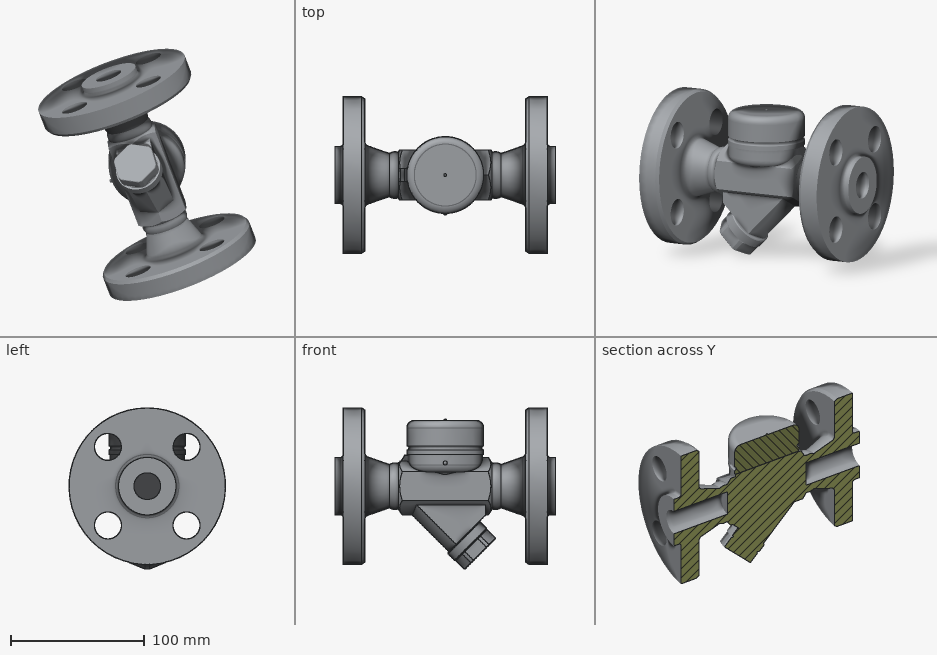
import cadquery as cq
import math


FACE_TO_FACE = 165.0
FLANGE_DIA = 117.0
FLANGE_OUTER_X = 76.2
FLANGE_INNER_X = 60.0
FLANGE_CHAMFER_LENGTH = 2.4
FLANGE_CHAMFER_DEPTH = 1.7
RAISED_FACE_DIA = 42.9
RAISED_FACE_FILLET = 2.2
BOLT_HOLE_DIA = 20.0
BOLT_HOLE_COUNT = 4
BOLT_CIRCLE_DIA = 83.0
PORT_DIA = 20.0
HUB_LARGE_DIA = 43.6
HUB_LARGE_X = 57.8
HUB_SMALL_DIA = 32.4
HUB_SMALL_X = 41.7
NECK_DIA = 34.0
NECK_CREST_DIA = 34.9
NECK_CREST_X = 38.0

BLOCK_FLATS = 37.4
BLOCK_HALF_LENGTH = 35.0
BLOCK_END_DIA = 34.6
BLOCK_END_TAPER = 2.9

BOWL_DIA = 56.0
BOWL_BOTTOM_Z = 10.7
BOWL_TOP_Z = 23.7
BOWL_FILLET = 5.0
BOWL_FOOT_DIA = 37.2
BOWL_FOOT_FILLET = 2.8
PIN_DIA = 3.0
PIN_Z = 17.3
PIN_TIP_Y = -29.8

LUG_WIDTH = 9.6
LUG_TOP_X = -30.3
LUG_TOP_Z = 23.2
LUG_BOTTOM_X = -33.6
LUG_BOTTOM_Z = 17.5
LUG_FILLET = 3.0

BRANCH_SLOPE = 45.0
BRANCH_AXIS_X = -12.25
BRANCH_AXIS_Z = -12.25
BRANCH_FLATS = 26.6
BRANCH_START = -10.0
BRANCH_END = 36.6
BRANCH_SIDE_X = 29.9

COLLAR_DIA = 34.0
COLLAR_LENGTH = 7.5
COLLAR_CHAMFER = 0.6
PLUG_NECK_DIA = 31.0
PLUG_NECK_LENGTH = 0.8
PLUG_HEX_FLATS = 30.0
PLUG_HEX_DIA = 33.0
PLUG_CHAMFER = 0.4
HOUSING_BOTTOM_Z = -62.04

CAP_DIA = 57.5
CAP_TOP_Z = 49.1
CAP_CROWN_FILLET = 5.6
CAP_GROOVE_RADIUS = 1.5
CAP_GROOVE_Z = 28.6
CAP_NUB_DIA = 2.0


def hexagon_corner_dia(flats):
    """Diameter of the circle through the corners of a hexagon with this width across flats."""
    return flats * 2 / math.sqrt(3)


def make_flanged_end():
    """The +X end: neck bead, tapered hub, drilled flange and raised face, turned about X."""
    end_x = FACE_TO_FACE / 2
    face_radius = RAISED_FACE_DIA / 2
    rim_radius = FLANGE_DIA / 2
    hub_length = HUB_LARGE_X - HUB_SMALL_X
    hub_taper = math.atan((HUB_LARGE_DIA - HUB_SMALL_DIA) / 2 / hub_length)
    hub_fillet = (FLANGE_INNER_X - HUB_LARGE_X) / (1 - math.sin(hub_taper))
    foot_radius = HUB_LARGE_DIA / 2 + hub_fillet * math.cos(hub_taper)
    profile = (
        cq.Workplane("XZ")
        .moveTo(0, 0)
        .lineTo(0, NECK_DIA / 2)
        .lineTo(BLOCK_HALF_LENGTH, NECK_DIA / 2)
        .threePointArc((NECK_CREST_X, NECK_CREST_DIA / 2), (HUB_SMALL_X, HUB_SMALL_DIA / 2))
        .lineTo(HUB_LARGE_X, HUB_LARGE_DIA / 2)
        .radiusArc((FLANGE_INNER_X, foot_radius), -hub_fillet)
        .lineTo(FLANGE_INNER_X, rim_radius - FLANGE_CHAMFER_DEPTH)
        .lineTo(FLANGE_INNER_X + FLANGE_CHAMFER_LENGTH, rim_radius)
        .lineTo(FLANGE_OUTER_X, rim_radius)
        .lineTo(FLANGE_OUTER_X, face_radius + RAISED_FACE_FILLET)
        .radiusArc((FLANGE_OUTER_X + RAISED_FACE_FILLET, face_radius), -RAISED_FACE_FILLET)
        .lineTo(end_x, face_radius)
        .lineTo(end_x, 0)
        .close()
    )
    end = profile.revolve(360, (0, 0, 0), (1, 0, 0))
    bolt_holes = (
        cq.Workplane("YZ", origin=(FLANGE_INNER_X, 0, 0))
        .polarArray(BOLT_CIRCLE_DIA / 2, 180 / BOLT_HOLE_COUNT, 360, BOLT_HOLE_COUNT)
        .circle(BOLT_HOLE_DIA / 2)
        .extrude(end_x - FLANGE_INNER_X)
    )
    port = (
        cq.Workplane("YZ", origin=(BLOCK_HALF_LENGTH, 0, 0))
        .circle(PORT_DIA / 2)
        .extrude(end_x - BLOCK_HALF_LENGTH)
    )
    return end.cut(bolt_holes).cut(port)


def make_block():
    """Hexagonal bar along X whose corners are coned off at both ends."""
    bar = (
        cq.Workplane("YZ")
        .polygon(6, hexagon_corner_dia(BLOCK_FLATS))
        .extrude(BLOCK_HALF_LENGTH, both=True)
        .rotate((0, 0, 0), (1, 0, 0), 90)
    )
    corner_radius = hexagon_corner_dia(BLOCK_FLATS) / 2
    cone_depth = corner_radius - BLOCK_END_DIA / 2
    envelope = (
        cq.Workplane("YZ")
        .circle(corner_radius)
        .extrude(BLOCK_HALF_LENGTH, both=True)
        .faces("<X or >X")
        .chamfer(BLOCK_END_TAPER, cone_depth)
    )
    return bar.intersect(envelope)


def make_bowl():
    """Round bowl on a round foot that is blended in by a concave fillet, standing on the block."""
    radius = BOWL_DIA / 2
    foot_radius = BOWL_FOOT_DIA / 2
    return (
        cq.Workplane("XZ")
        .moveTo(0, BOWL_TOP_Z)
        .lineTo(radius, BOWL_TOP_Z)
        .lineTo(radius, BOWL_BOTTOM_Z + BOWL_FILLET)
        .radiusArc((radius - BOWL_FILLET, BOWL_BOTTOM_Z), BOWL_FILLET)
        .lineTo(foot_radius + BOWL_FOOT_FILLET, BOWL_BOTTOM_Z)
        .radiusArc((foot_radius, BOWL_BOTTOM_Z - BOWL_FOOT_FILLET), -BOWL_FOOT_FILLET)
        .lineTo(foot_radius, 0)
        .lineTo(0, 0)
        .close()
        .revolve(360, (0, 0, 0), (0, 1, 0))
    )


def make_pin():
    """Round-ended pin on the -Y side of the bowl."""
    tip_radius = PIN_DIA / 2
    tip_center_y = PIN_TIP_Y + tip_radius
    shank = cq.Workplane("XZ", origin=(0, 0, PIN_Z)).circle(tip_radius).extrude(-tip_center_y)
    tip = cq.Workplane("XY", origin=(0, tip_center_y, PIN_Z)).sphere(tip_radius)
    return shank.union(tip)


def make_lug():
    """Sloped lug on the -X side, blended into the bowl wall by concave fillets."""
    radius = BOWL_DIA / 2
    side = (
        cq.Workplane("XZ", origin=(0, radius, 0))
        .moveTo(0, LUG_TOP_Z)
        .lineTo(LUG_TOP_X, LUG_TOP_Z)
        .lineTo(LUG_BOTTOM_X, LUG_BOTTOM_Z)
        .lineTo(0, LUG_BOTTOM_Z)
        .close()
        .extrude(BOWL_DIA)
    )
    height = LUG_TOP_Z - LUG_BOTTOM_Z
    base = cq.Workplane("XY", origin=(0, 0, LUG_BOTTOM_Z))
    disc = base.circle(radius).extrude(height)
    tongue = base.rect(-2 * LUG_BOTTOM_X, LUG_WIDTH).extrude(height).union(disc)
    corner_x = -math.sqrt(radius**2 - (LUG_WIDTH / 2) ** 2)
    mid_z = (LUG_TOP_Z + LUG_BOTTOM_Z) / 2
    for corner_y in (-LUG_WIDTH / 2, LUG_WIDTH / 2):
        corner = cq.selectors.NearestToPointSelector((corner_x, corner_y, mid_z))
        tongue = tongue.edges(corner).fillet(LUG_FILLET)
    return tongue.intersect(side)


def make_lug_relief():
    """Wedge in front of the sloped lug face, taken out of the block ridge."""
    return (
        cq.Workplane("XZ", origin=(0, LUG_WIDTH / 2, 0))
        .moveTo(LUG_TOP_X, LUG_TOP_Z)
        .lineTo(LUG_BOTTOM_X, LUG_BOTTOM_Z)
        .lineTo(-BLOCK_HALF_LENGTH, LUG_BOTTOM_Z)
        .lineTo(-BLOCK_HALF_LENGTH, LUG_TOP_Z)
        .close()
        .extrude(LUG_WIDTH)
    )


def branch_plane(distance):
    """Plane across the branch at a distance along its axis; local x points up the slope."""
    slope = math.radians(BRANCH_SLOPE)
    along = (math.cos(slope), 0, -math.sin(slope))
    across = (math.sin(slope), 0, math.cos(slope))
    origin = (
        BRANCH_AXIS_X + distance * along[0],
        0,
        BRANCH_AXIS_Z + distance * along[2],
    )
    return cq.Workplane(cq.Plane(origin=origin, xDir=across, normal=along))


def make_branch():
    """Branch with a half hexagon below its axis, widened upwards to meet the underside of the block."""
    half_width = BRANCH_FLATS / 2
    corner = hexagon_corner_dia(BRANCH_FLATS) / 2
    upper_edge = BRANCH_END
    prism = (
        branch_plane(BRANCH_START)
        .moveTo(-corner, 0)
        .lineTo(-corner / 2, -half_width)
        .lineTo(upper_edge, -half_width)
        .lineTo(upper_edge, half_width)
        .lineTo(-corner / 2, half_width)
        .close()
        .extrude(BRANCH_END - BRANCH_START)
    )
    below_pipe_axis = (
        cq.Workplane("XY")
        .rect(2 * BRANCH_SIDE_X, BRANCH_FLATS)
        .extrude(HOUSING_BOTTOM_Z)
    )
    return prism.intersect(below_pipe_axis)


def make_plug():
    """Round collar, short neck and hexagonal head on the end of the branch."""
    hex_start = BRANCH_END + COLLAR_LENGTH + PLUG_NECK_LENGTH
    slope = math.radians(BRANCH_SLOPE)
    drop = BRANCH_AXIS_Z - HOUSING_BOTTOM_Z
    hex_end = (drop - (PLUG_HEX_DIA / 2 - PLUG_CHAMFER) * math.cos(slope)) / math.sin(slope)
    collar = branch_plane(BRANCH_END).circle(COLLAR_DIA / 2).extrude(COLLAR_LENGTH)
    collar = collar.edges("<X").chamfer(COLLAR_CHAMFER)
    neck = branch_plane(BRANCH_END).circle(PLUG_NECK_DIA / 2).extrude(hex_start - BRANCH_END)
    head_length = hex_end - hex_start
    head = branch_plane(hex_start).polygon(6, hexagon_corner_dia(PLUG_HEX_FLATS)).extrude(head_length)
    rounding = branch_plane(hex_start).circle(PLUG_HEX_DIA / 2).extrude(head_length)
    head = head.intersect(rounding)
    end_face = cq.selectors.NearestToPointSelector(branch_plane(hex_end).plane.origin.toTuple())
    head = head.faces(end_face).chamfer(PLUG_CHAMFER)
    return collar.union(neck).union(head)


def make_housing():
    """Everything below the cap, as one solid."""
    flanged_end = make_flanged_end()
    block = make_block().cut(make_lug_relief())
    housing = block.union(flanged_end).union(flanged_end.mirror("YZ"))
    housing = housing.union(make_bowl()).union(make_pin()).union(make_lug())
    return housing.union(make_branch()).union(make_plug())


def make_cap():
    """Cap with a rounded crown, a round groove near its lower rim and a centre nub."""
    radius = CAP_DIA / 2
    cap = (
        cq.Workplane("XZ")
        .moveTo(0, BOWL_TOP_Z)
        .lineTo(radius, BOWL_TOP_Z)
        .lineTo(radius, CAP_GROOVE_Z - CAP_GROOVE_RADIUS)
        .radiusArc((radius, CAP_GROOVE_Z + CAP_GROOVE_RADIUS), CAP_GROOVE_RADIUS)
        .lineTo(radius, CAP_TOP_Z - CAP_CROWN_FILLET)
        .radiusArc((radius - CAP_CROWN_FILLET, CAP_TOP_Z), -CAP_CROWN_FILLET)
        .lineTo(0, CAP_TOP_Z)
        .close()
        .revolve(360, (0, 0, 0), (0, 1, 0))
    )
    nub = cq.Workplane("XY", origin=(0, 0, CAP_TOP_Z)).sphere(CAP_NUB_DIA / 2)
    return cap.union(nub)


housing = make_housing()
cap = make_cap()

result = cq.Compound.makeCompound([housing.val(), cap.val()])